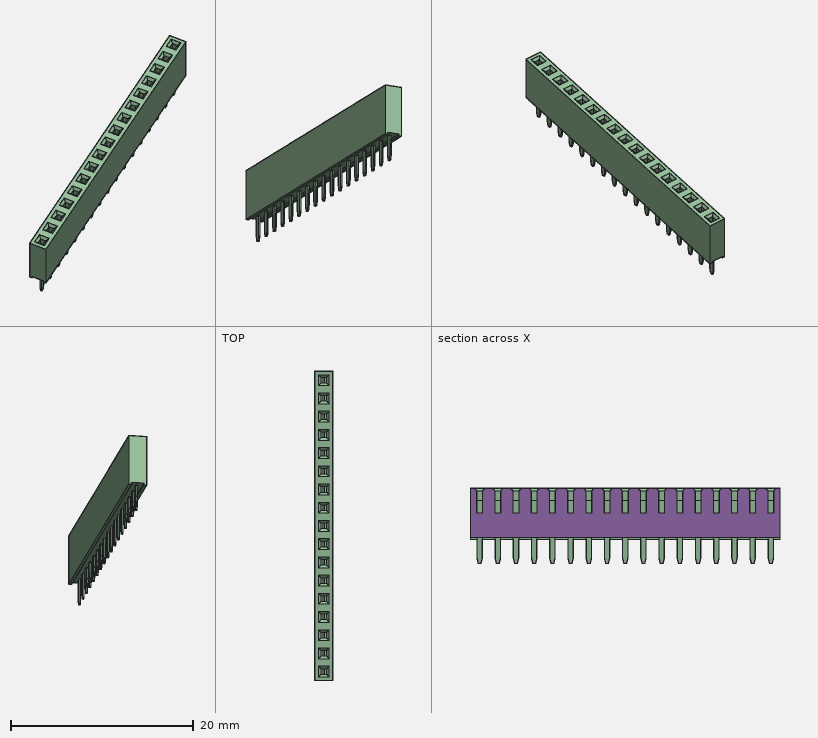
import cadquery as cq

length = 34.0
width = 2.0
total_height = 8.3
contact_count = 17
pitch = length / contact_count

body_height = 5.65
channel_width = 1.35
channel_depth = 0.2

mouth_size = 1.2
well_size = 0.6
lead_in_depth = (mouth_size - well_size) / 2
well_depth = 2.72

blade_thickness = 0.17
blade_width = 0.6
blade_rise = 1.35
tip_width = 0.3
tip_length = 0.6

top_z = total_height / 2
tail_end_z = -total_height / 2
base_z = top_z - body_height
well_floor_z = top_z - well_depth
contact_positions = [(i - (contact_count - 1) / 2) * pitch for i in range(contact_count)]


def make_housing():
    """Rectangular block with a shallow channel along its underside, leaving two feet."""
    block = cq.Workplane("XY", origin=(0, 0, base_z)).rect(width, length).extrude(body_height)
    channel = cq.Workplane("XY", origin=(0, 0, base_z)).rect(channel_width, length).extrude(channel_depth)
    return block.cut(channel)


def make_socket(y):
    """Volume removed for one socket: pyramidal lead-in and square well."""
    lead_in = (
        cq.Workplane("XY", origin=(0, y, top_z))
        .rect(mouth_size, mouth_size)
        .workplane(offset=-lead_in_depth)
        .rect(well_size, well_size)
        .loft(ruled=True)
    )
    well = cq.Workplane("XY", origin=(0, y, top_z)).rect(well_size, well_size).extrude(-well_depth)
    return lead_in.union(well)


def make_contact(y):
    """Flat blade in the YZ plane with a tapered tip at the lower end."""
    shoulder_z = tail_end_z + tip_length
    blade_top_z = well_floor_z + blade_rise
    return (
        cq.Workplane("YZ", origin=(0, y, 0))
        .moveTo(-blade_width / 2, blade_top_z)
        .lineTo(blade_width / 2, blade_top_z)
        .lineTo(blade_width / 2, shoulder_z)
        .lineTo(tip_width / 2, tail_end_z)
        .lineTo(-tip_width / 2, tail_end_z)
        .lineTo(-blade_width / 2, shoulder_z)
        .close()
        .extrude(blade_thickness / 2, both=True)
    )


result = make_housing()
for contact_y in contact_positions:
    result = result.cut(make_socket(contact_y))
for contact_y in contact_positions:
    result = result.union(make_contact(contact_y))